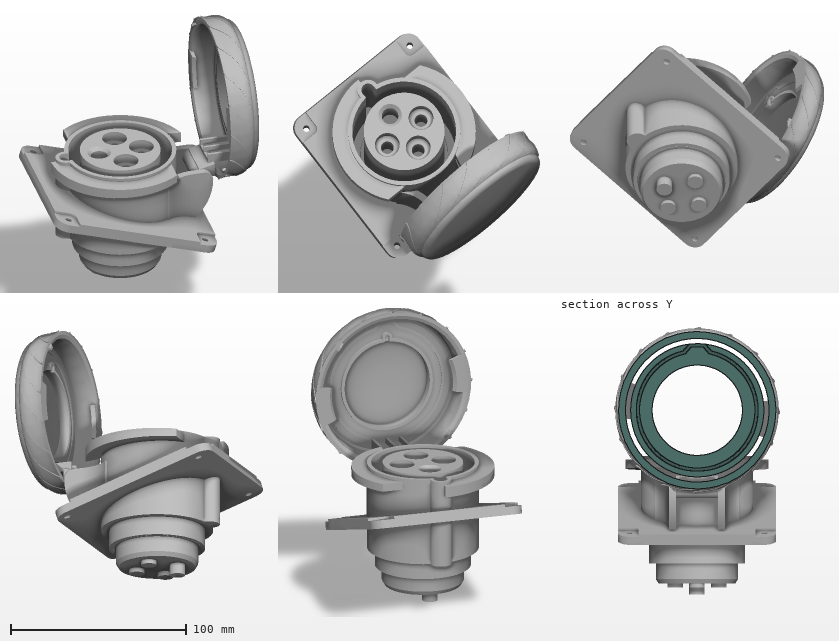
import cadquery as cq
import math


sleeve_height = 50.8
sleeve_radius = 32.0
sleeve_inner_radius = 29.5
sleeve_floor_z = 2.5
collar_radius = 27.5
collar_bottom_z = -10.5
bore_radius = 25.2

key_center_y = -32.0
key_outer_radius = 6.1
key_inner_radius = 3.8

wing_radius = 40.9
wing_top_z = 48.8
wing_thin = 4.5
wing_thick = 6.4
wing_flat_y = 24.8

flange_width = 90.3
flange_length = 99.7
flange_thickness = 6.3
flange_tilt = 18.0
flange_center_y = -1.0
flange_center_z = 18.5
flange_corner_radius = 7.6
screw_pocket_width = 11.9
screw_pocket_length = 12.5
screw_pocket_depth = 1.5
screw_pocket_radius = 3.4
screw_hole_radius = 1.8
screw_hole_x = 38.4
screw_hole_pitch_y = 80.6
screw_hole_mid_y = -0.6

hinge_y = 45.0
hinge_z = 31.9
pin_radius = 2.1
ear_inner_x = 12.0
ear_outer_x = 16.0
ear_round_radius = 5.6
ear_back_radius = 31.5
ear_foot_y = 39.3
ear_bend_y = 39.2
ear_flare_radius = 22.4
ear_flare_angle = 50.0

insert_radius = 23.0
insert_shoulder_radius = 25.0
insert_base_radius = 23.5
insert_bottom_z = -21.8
insert_chamfer = (2.5, 1.5)
contact_offset = 12.5
socket_radius = 7.09
socket_depth = 5.6
contact_hole_radius = 3.7
contact_hole_depth = 15.2
earth_mouth_radius = 6.7
earth_hole_radius = 4.7
terminal_radius = 4.4
terminal_length = 2.5
earth_terminal_length = 6.3

lid_center_z = 77.0
lid_rim_y = 52.7
lid_rim_radius = 46.6
lid_side_radius = 46.0
lid_side_y = 58.8
lid_shoulder_radius = 45.5
lid_shoulder_y = 65.0
lid_step_radius = 43.5
lid_step_y = 67.4
lid_back_radius = 39.8
lid_back_y = 71.2
lid_back_bulge = 0.8
lid_apex_y = 73.8
lid_floor_y = 65.7
lid_floor_radius = 38.1
mouth_radius = 44.5
mouth_throat_radius = 42.5
mouth_throat_y = 53.7
wall_end_radius = 41.0
wall_end_y = 65.7
floor_moat_radius = 39.8
floor_moat_y = 66.5

well_radius = 25.6
well_border_radius = 27.5
well_border_y = 64.0
well_wall = 2.7
well_key_offset = 28.4
well_key_outer_radius = 2.9
well_key_inner_radius = 1.4

lug_angle = 30.0
lug_start = 22.5
lug_thickness = 2.0
lug_front_radius = 38.1
lug_back_radius = 36.5
lug_root_radius = 44.8
nub_angle = 42.5
nub_radius = 43.9
nub_width = 1.5
nub_length = 5.0
nub_height = 1.5

rib_count = 16
rib_height = 0.8
rib_width = 1.4
rib_tip_width = 0.5
rib_sweep = 30.5
rib_turn = 5.6

arm_half_width = 12.0
arm_top_z = 39.8
arm_knuckle_radius = 5.0
arm_top_end_y = 43.5
arm_top_end_z = 37.5
rail_half_width = 9.0
rail_top_z = 44.7
rail_base_z = 39.2
rail_floor_z = 41.5
rail_end_y = 49.4
rail_thickness = 1.5

gasket_radius = 34.6
gasket_width = 1.5
gasket_front_y = 65.2
gasket_seat_depth = 0.8
gasket_bump_top = 37.8
gasket_bump_top_half = 4.3
gasket_bump_base = 33.0
gasket_bump_base_half = 8.5


def cylinder(radius, z_low, z_high, x=0, y=0):
    """Upright cylinder between two heights."""
    return cq.Workplane("XY", origin=(x, y, z_low)).circle(radius).extrude(z_high - z_low)


def disc_along_y(radius, y_low, y_high, z=0):
    """Cylinder parallel to Y, centred on X = 0."""
    return cq.Workplane("XZ", origin=(0, y_low, z)).circle(radius).extrude(y_low - y_high)


def block(x_low, x_high, y_low, y_high, z_low, z_high):
    """Box between six limits."""
    size = (x_high - x_low, y_high - y_low, z_high - z_low)
    return cq.Workplane("XY").box(*size, centered=False).translate((x_low, y_low, z_low))


def about_y(shape, angle):
    return shape.rotate((0, 0, 0), (0, 1, 0), angle)


def make_wing():
    """Bayonet wing on the +X side; its lower face is a ramp."""
    ring = cylinder(wing_radius, 0, sleeve_height).cut(cylinder(sleeve_inner_radius, 0, sleeve_height))
    ramp = (
        cq.Workplane("YZ")
        .moveTo(-wing_radius, wing_top_z)
        .lineTo(wing_flat_y, wing_top_z)
        .lineTo(wing_flat_y, wing_top_z - wing_thin)
        .lineTo(-wing_radius, wing_top_z - wing_thick)
        .close()
        .extrude(wing_radius)
    )
    return ring.intersect(ramp)


def make_flange():
    """Rectangular plate with sunk corners, tilted down toward +Y."""
    plate = (
        cq.Workplane("XY")
        .box(flange_width, flange_length, flange_thickness)
        .edges("|Z")
        .fillet(flange_corner_radius)
    )
    pocket = (
        cq.Workplane("XY", origin=(0, 0, flange_thickness / 2 - screw_pocket_depth))
        .rarray(flange_width, flange_length, 2, 2)
        .rect(2 * screw_pocket_width, 2 * screw_pocket_length)
        .extrude(flange_thickness)
        .edges("|Z")
        .fillet(screw_pocket_radius)
    )
    plate = plate.cut(pocket).rotate((0, 0, 0), (1, 0, 0), -flange_tilt)
    plate = plate.translate((0, flange_center_y, flange_center_z))
    holes = (
        cq.Workplane("XY", origin=(0, screw_hole_mid_y, -sleeve_height))
        .rarray(2 * screw_hole_x, screw_hole_pitch_y, 2, 2)
        .circle(screw_hole_radius)
        .extrude(3 * sleeve_height)
    )
    return plate.cut(holes)


def flare_point(face_x, angle):
    """Point on the flare of an ear face, at an angle past the bend."""
    center_x = ear_outer_x + ear_flare_radius
    radius = center_x - face_x
    turn = math.radians(angle)
    return (center_x - radius * math.cos(turn), ear_bend_y - radius * math.sin(turn))


def make_hinge_slot():
    """Space between the two flared ears, from the sleeve outward, at full height."""
    end_x, end_y = flare_point(ear_inner_x, ear_flare_angle)
    mid_x, mid_y = flare_point(ear_inner_x, ear_flare_angle / 2)
    return (
        cq.Workplane("XY")
        .moveTo(-ear_inner_x, wing_radius)
        .lineTo(-ear_inner_x, ear_bend_y)
        .threePointArc((-mid_x, mid_y), (-end_x, end_y))
        .lineTo(end_x, end_y)
        .threePointArc((mid_x, mid_y), (ear_inner_x, ear_bend_y))
        .lineTo(ear_inner_x, wing_radius)
        .close()
        .extrude(sleeve_height)
        .cut(cylinder(sleeve_inner_radius, 0, sleeve_height))
    )


def make_ear():
    """Hinge ear on the +X side, flaring out to meet the sleeve."""
    tip_y = hinge_y + ear_round_radius
    plan = (
        cq.Workplane("XY", origin=(0, 0, -sleeve_height))
        .moveTo(ear_outer_x, tip_y)
        .lineTo(ear_outer_x, ear_bend_y)
        .threePointArc(
            flare_point(ear_outer_x, ear_flare_angle / 2),
            flare_point(ear_outer_x, ear_flare_angle),
        )
        .lineTo(*flare_point(ear_inner_x, ear_flare_angle))
        .threePointArc(flare_point(ear_inner_x, ear_flare_angle / 2), (ear_inner_x, ear_bend_y))
        .lineTo(ear_inner_x, tip_y)
        .close()
        .extrude(3 * sleeve_height)
    )
    round_corner = ear_round_radius * math.sqrt(0.5)
    back_y = tip_y - ear_back_radius
    foot_turn = math.acos((ear_foot_y - back_y) / ear_back_radius)
    foot_z = hinge_z - ear_back_radius * math.sin(foot_turn)
    back_mid = (
        back_y + ear_back_radius * math.cos(foot_turn / 2),
        hinge_z - ear_back_radius * math.sin(foot_turn / 2),
    )
    slope = math.tan(math.radians(flange_tilt))
    side = (
        cq.Workplane("YZ")
        .moveTo(0, hinge_z + ear_round_radius)
        .lineTo(hinge_y, hinge_z + ear_round_radius)
        .threePointArc((hinge_y + round_corner, hinge_z + round_corner), (tip_y, hinge_z))
        .threePointArc(back_mid, (ear_foot_y, foot_z))
        .lineTo(0, foot_z + ear_foot_y * slope)
        .close()
        .extrude(flange_width)
    )
    return plan.intersect(side)


def make_housing():
    body = cylinder(sleeve_radius, 0, sleeve_height)
    body = body.union(cylinder(key_outer_radius, 0, sleeve_height, y=key_center_y))
    body = body.union(cylinder(collar_radius, collar_bottom_z, 0))

    wing = make_wing()
    far_wing = wing.rotate((0, 0, 0), (0, 0, 1), 180).cut(make_hinge_slot())
    body = body.union(wing).union(far_wing)

    body = body.union(make_flange())
    ear = make_ear()
    body = body.union(ear).union(ear.mirror("YZ"))

    key_cut = cylinder(key_inner_radius, sleeve_floor_z, sleeve_height, y=key_center_y).union(
        block(-key_inner_radius, key_inner_radius, key_center_y, 0, sleeve_floor_z, sleeve_height)
    )
    body = body.cut(cylinder(sleeve_inner_radius, sleeve_floor_z, sleeve_height).union(key_cut))
    body = body.cut(cylinder(bore_radius, collar_bottom_z, sleeve_height))
    return body.cut(make_hinge_pin())


def make_hinge_pin():
    return (
        cq.Workplane("YZ", origin=(-ear_outer_x, 0, 0))
        .center(hinge_y, hinge_z)
        .circle(pin_radius)
        .extrude(2 * ear_outer_x)
    )


def make_insert():
    chamfer_height, chamfer_width = insert_chamfer
    body = (
        cq.Workplane("XZ")
        .moveTo(0, insert_bottom_z)
        .lineTo(insert_base_radius - chamfer_width, insert_bottom_z)
        .lineTo(insert_base_radius, insert_bottom_z + chamfer_height)
        .lineTo(insert_base_radius, collar_bottom_z)
        .lineTo(insert_shoulder_radius, collar_bottom_z)
        .lineTo(insert_shoulder_radius, sleeve_floor_z)
        .lineTo(insert_radius, sleeve_floor_z)
        .lineTo(insert_radius, sleeve_height)
        .lineTo(0, sleeve_height)
        .close()
        .revolve(360, (0, 0), (0, 1))
    )
    for x, y in ((-contact_offset, 0), (contact_offset, 0), (0, contact_offset)):
        floor_z = sleeve_height - socket_depth
        body = body.cut(cylinder(socket_radius, floor_z, sleeve_height, x, y))
        body = body.cut(cylinder(contact_hole_radius, floor_z - contact_hole_depth, floor_z, x, y))
        terminal_z = insert_bottom_z - terminal_length
        body = body.union(cylinder(terminal_radius, terminal_z, insert_bottom_z, x, y))

    earth_flare = earth_mouth_radius - earth_hole_radius
    earth_hole = cylinder(
        earth_hole_radius, sleeve_height - contact_hole_depth, sleeve_height, y=-contact_offset
    )
    body = body.cut(earth_hole)
    mouth_edge = (
        cq.Workplane("XY", origin=(0, -contact_offset, sleeve_height))
        .circle(earth_mouth_radius)
        .workplane(offset=-earth_flare)
        .circle(earth_hole_radius)
        .loft()
    )
    body = body.cut(mouth_edge)
    terminal_z = insert_bottom_z - earth_terminal_length
    return body.union(cylinder(terminal_radius, terminal_z, insert_bottom_z, y=-contact_offset))


def make_gasket():
    """Flat ring with a trapezoid bump toward +Z."""
    back_y = lid_floor_y + gasket_seat_depth
    thickness = back_y - gasket_front_y

    def filled_outline(inset):
        bump = (
            cq.Workplane("XZ", origin=(0, back_y, 0))
            .moveTo(-gasket_bump_base_half + inset, 0)
            .lineTo(-gasket_bump_base_half + inset, gasket_bump_base - inset / 2)
            .lineTo(-gasket_bump_top_half + inset / 2, gasket_bump_top - inset)
            .lineTo(gasket_bump_top_half - inset / 2, gasket_bump_top - inset)
            .lineTo(gasket_bump_base_half - inset, gasket_bump_base - inset / 2)
            .lineTo(gasket_bump_base_half - inset, 0)
            .close()
            .extrude(thickness)
        )
        return disc_along_y(gasket_radius - inset, gasket_front_y, back_y).union(bump)

    return filled_outline(0).cut(filled_outline(gasket_width))


def make_placed_gasket():
    return make_gasket().translate((0, 0, lid_center_z))


def dome_sag(radius):
    """Drop of the domed back below its apex at a given radius."""
    rise = lid_apex_y - lid_back_y
    dome_radius = (lid_back_radius**2 + rise**2) / (2 * rise)
    return dome_radius - math.sqrt(dome_radius**2 - radius**2)


def lid_side_points(offset):
    """Curve points from above the rim to the step, shifted outward by an offset that fades to zero."""
    return [
        (lid_side_radius + offset / 2, lid_side_y),
        (lid_shoulder_radius + offset / 4, lid_shoulder_y),
        (lid_step_radius, lid_step_y),
    ]


def make_lid_shell():
    edge_mid = (
        (lid_step_radius + lid_back_radius) / 2 + lid_back_bulge,
        (lid_step_y + lid_back_y) / 2 + lid_back_bulge,
    )
    dome_mid_radius = lid_back_radius / 2
    shell = (
        cq.Workplane("XY")
        .moveTo(0, lid_rim_y)
        .lineTo(lid_rim_radius, lid_rim_y)
        .spline(lid_side_points(0), includeCurrent=True)
        .threePointArc(edge_mid, (lid_back_radius, lid_back_y))
        .threePointArc((dome_mid_radius, lid_apex_y - dome_sag(dome_mid_radius)), (0, lid_apex_y))
        .close()
        .revolve(360, (0, 0), (0, 1))
    )
    cavity = (
        cq.Workplane("XY")
        .moveTo(0, lid_rim_y)
        .lineTo(mouth_radius, lid_rim_y)
        .lineTo(mouth_throat_radius, mouth_throat_y)
        .lineTo(wall_end_radius, wall_end_y)
        .lineTo(floor_moat_radius, floor_moat_y)
        .lineTo(lid_floor_radius, floor_moat_y)
        .lineTo(lid_floor_radius, lid_floor_y)
        .lineTo(0, lid_floor_y)
        .close()
        .revolve(360, (0, 0), (0, 1))
    )
    return shell.cut(cavity)


def add_well(lid):
    """Domed recess in the lid floor, with a raised border that has a small key slot."""
    border = disc_along_y(well_border_radius, well_border_y, lid_floor_y)
    key_border = disc_along_y(well_key_outer_radius, well_border_y, lid_floor_y, well_key_offset).union(
        block(-well_key_outer_radius, well_key_outer_radius, well_border_y, lid_floor_y, 0, well_key_offset)
    )
    lid = lid.union(border.union(key_border))
    mid_radius = well_radius / 2
    recess_apex_y = lid_apex_y - well_wall
    recess = (
        cq.Workplane("XY")
        .moveTo(0, well_border_y)
        .lineTo(well_radius, well_border_y)
        .lineTo(well_radius, recess_apex_y - dome_sag(well_radius))
        .threePointArc((mid_radius, recess_apex_y - dome_sag(mid_radius)), (0, recess_apex_y))
        .close()
        .revolve(360, (0, 0), (0, 1))
    )
    slot = disc_along_y(well_key_inner_radius, well_border_y, lid_floor_y, well_key_offset).union(
        block(-well_key_inner_radius, well_key_inner_radius, well_border_y, lid_floor_y, 0, well_key_offset)
    )
    return lid.cut(recess).cut(slot)


def make_lug():
    return about_y(
        cq.Workplane("XY")
        .moveTo(lug_front_radius, lid_rim_y)
        .lineTo(lug_root_radius, lid_rim_y)
        .lineTo(lug_root_radius, lid_rim_y + lug_thickness)
        .lineTo(lug_back_radius, lid_rim_y + lug_thickness)
        .close()
        .revolve(lug_angle, (0, 0), (0, 1)),
        -lug_start,
    )


def make_nub():
    """Small ramped nub standing out of the mouth, built toward -X."""
    return about_y(
        cq.Workplane("YZ", origin=(-nub_radius - nub_width / 2, 0, 0))
        .moveTo(mouth_throat_y, -nub_length / 2)
        .lineTo(lid_rim_y - nub_height, -nub_length / 2)
        .lineTo(lid_rim_y - nub_height, 0)
        .lineTo(lid_rim_y, nub_length / 2)
        .lineTo(mouth_throat_y, nub_length / 2)
        .close()
        .extrude(nub_width),
        nub_angle,
    )


def make_rib():
    """Curved rib on the +Z side: leans toward +X and levels out at the lid shoulder."""
    tip_x = rib_sweep / 2

    def leveling_arc(start_x, tip_y):
        run = tip_x - start_x
        rise = tip_y - lid_rim_y
        radius = (run**2 + rise**2) / (2 * rise)
        half_turn = math.atan2(run, radius - rise) / 2
        return (tip_x - radius * math.sin(half_turn), tip_y - radius * (1 - math.cos(half_turn)))

    left_x = -tip_x - rib_width / 2
    right_x = left_x + rib_width
    low_tip_y = lid_step_y - rib_tip_width
    blade = (
        cq.Workplane("XY")
        .moveTo(left_x, lid_rim_y)
        .threePointArc(leveling_arc(left_x, lid_step_y), (tip_x, lid_step_y))
        .lineTo(tip_x, low_tip_y)
        .threePointArc(leveling_arc(right_x, low_tip_y), (right_x, lid_rim_y))
        .close()
        .extrude(2 * lid_rim_radius)
    )
    skin = (
        cq.Workplane("XY")
        .moveTo(lid_rim_radius - rib_height, lid_rim_y)
        .lineTo(lid_rim_radius + rib_height, lid_rim_y)
        .spline(lid_side_points(rib_height), includeCurrent=True)
        .lineTo(lid_step_radius - rib_height, lid_step_y)
        .lineTo(lid_shoulder_radius - rib_height, lid_shoulder_y)
        .close()
        .revolve(360, (0, 0), (0, 1))
    )
    return blade.intersect(skin)


def make_lid_arm():
    """Hinge arm in front of the rim, with three rails that run back to the lid floor."""
    arm = (
        cq.Workplane("YZ", origin=(-arm_half_width, 0, 0))
        .moveTo(lid_rim_y, arm_top_z)
        .lineTo(arm_top_end_y, arm_top_end_z)
        .lineTo(arm_top_end_y, hinge_z)
        .lineTo(lid_rim_y, hinge_z)
        .close()
        .extrude(2 * arm_half_width)
    )
    knuckle = (
        cq.Workplane("YZ", origin=(-arm_half_width, 0, 0))
        .center(hinge_y, hinge_z)
        .circle(arm_knuckle_radius)
        .extrude(2 * arm_half_width)
    )
    arm = arm.union(knuckle)
    base = block(-rail_half_width, rail_half_width, rail_end_y, lid_floor_y, rail_base_z, rail_floor_z)
    arm = arm.union(base)
    for side in (-1, 0, 1):
        rail_x = side * (rail_half_width - rail_thickness / 2)
        rail_left = rail_x - rail_thickness / 2
        rail_right = rail_x + rail_thickness / 2
        rail = block(rail_left, rail_right, rail_end_y, lid_floor_y, rail_base_z, rail_top_z)
        arm = arm.union(rail)
    return arm.cut(make_hinge_pin())


def make_lid():
    lid = add_well(make_lid_shell())
    for half_turn in (0, 180):
        lid = lid.union(about_y(make_lug(), half_turn))
        lid = lid.union(about_y(make_nub(), half_turn))
    rib = make_rib()
    for number in range(rib_count):
        lid = lid.union(about_y(rib, number * 360 / rib_count - rib_turn))
    lid = lid.translate((0, 0, lid_center_z)).union(make_lid_arm())
    return lid.cut(make_placed_gasket())


housing = make_housing()
insert = make_insert()
hinge_pin = make_hinge_pin()
lid = make_lid()
gasket = make_placed_gasket()

result = cq.Compound.makeCompound(
    [housing.val(), insert.val(), hinge_pin.val(), lid.val(), gasket.val()]
)